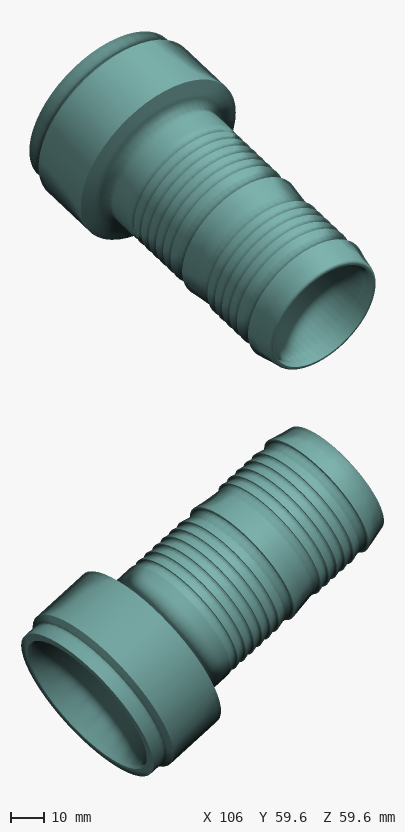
import cadquery as cq
import math

total_length = 106.0

lip_radius = 56.0 / 2
lip_length = 4.9
flange_radius = 59.6 / 2
flange_start = lip_length + flange_radius - lip_radius
flange_end = 26.8

neck_radius = 43.5 / 2
shoulder_angle = math.radians(15)
blend_radius = 3.0

root_radius = 42.0 / 2
rib_radius = neck_radius
rib_pitch = 3.5
rib_taper_length = 3.0
neck_end = 39.0
first_group_start = 42.2
first_group_count = 6
second_group_start = 77.4
second_group_count = 5

collar_radius = 22.2
collar_start = 65.8
collar_end = 74.4

barb_start = 97.3
barb_tip_radius = 20.4
tip_rounding = 0.7

bore_radius = 38.0 / 2
mouth_radius = 25.1
cone_depth = 22.3


def add_shoulder(profile):
    """Slope down from the flange and blend tangentially into the neck."""
    center_r = neck_radius + blend_radius
    tangent_r = center_r - blend_radius * math.sin(shoulder_angle)
    tangent_x = flange_end + (flange_radius - tangent_r) * math.tan(shoulder_angle)
    center_x = tangent_x + blend_radius * math.cos(shoulder_angle)
    middle_angle = (math.pi + shoulder_angle + 1.5 * math.pi) / 2
    middle = (
        center_x + blend_radius * math.cos(middle_angle),
        center_r + blend_radius * math.sin(middle_angle),
    )
    return profile.lineTo(tangent_x, tangent_r).threePointArc(middle, (center_x, neck_radius))


def add_ribs(profile, start, count):
    """Add sawtooth ribs, each a step up followed by a taper to the root."""
    for index in range(count):
        x = start + index * rib_pitch
        profile = (
            profile.lineTo(x, root_radius)
            .lineTo(x, rib_radius)
            .lineTo(x + rib_taper_length, root_radius)
        )
    return profile


def add_collar(profile):
    """Add the taller tapered collar between the two rib groups."""
    return (
        profile.lineTo(collar_start, root_radius)
        .lineTo(collar_start, collar_radius)
        .lineTo(collar_end, root_radius)
    )


def add_barb(profile):
    """Add the final barb with its rounded tip."""
    rounding_start = total_length - tip_rounding
    return (
        profile.lineTo(barb_start, root_radius)
        .lineTo(barb_start, collar_radius)
        .lineTo(rounding_start, barb_tip_radius)
        .tangentArcPoint((total_length, barb_tip_radius - tip_rounding), relative=False)
    )


section = (
    cq.Workplane("XY")
    .moveTo(0, mouth_radius)
    .lineTo(0, lip_radius)
    .lineTo(lip_length, lip_radius)
    .lineTo(flange_start, flange_radius)
    .lineTo(flange_end, flange_radius)
)
section = add_shoulder(section)
section = section.lineTo(neck_end, neck_radius)
section = section.lineTo(neck_end + rib_taper_length, root_radius)
section = add_ribs(section, first_group_start, first_group_count)
section = add_collar(section)
section = add_ribs(section, second_group_start, second_group_count)
section = add_barb(section)
section = section.lineTo(total_length, bore_radius).lineTo(cone_depth, bore_radius).close()

result = section.revolve(360, (0, 0, 0), (1, 0, 0))